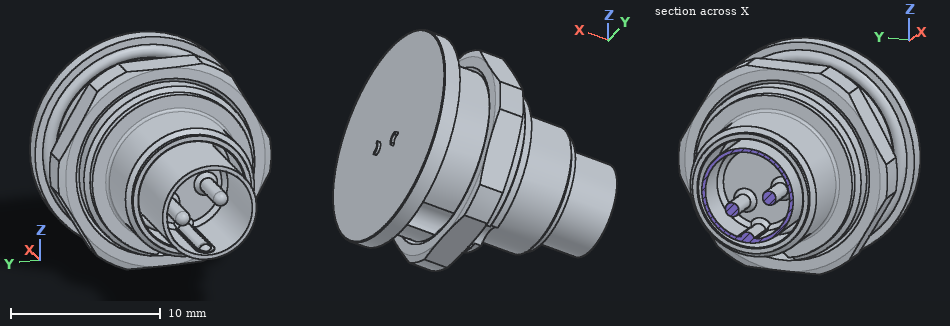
import cadquery as cq
import math


total_length = 15.9
collar_front = 3.69
thread_chamfer_start = 3.99
thread_chamfer_end = 4.23
shoulder_front = 7.92
body_chamfer_start = 8.43
body_chamfer_end = 8.62
nut_front = 9.5
nut_rear = 11.51
flange_front = 14.5
flange_rear = 15.7

shroud_dia = 6.6
collar_dia = 8.32
front_thread_dia = 9.05
shoulder_dia = 11.27
body_dia = 12.0
flange_dia = 15.0
root_fillet = 0.19
flange_chamfer = 0.06

nut_across_flats = 14.0
nut_corner_dia = flange_dia
nut_corner_chamfer = 0.13
nut_bore_dia = 11.38
nut_mouth_dia = 12.5
nut_mouth_depth = 0.32

socket_dia = 6.0
socket_floor_dia = 5.35
socket_floor = 5.56
socket_taper_length = 0.32

gap_dia = 7.5
gap_mouth_chamfer = 0.06
gap_floor = 7.15

seal_thickness = 1.0
seal_center_x = 14.7
gap_seal_thickness = seal_thickness / 2
gap_seal_center_x = gap_floor - gap_seal_thickness / 4

contact_dia = 1.0
contact_base_dia = 1.64
contact_base_length = 0.32
contact_tip = 1.95
contact_circle_radius = 1.56
cup_hole_dia = 0.7
cup_cut_offset = 0.17
contact_angles = [(180.0, 148.0), (-45.0, -45.0)]

key_center_z = -3.02
key_lead_start = 1.16
key_nose_start = 0.95
key_nose_tip = 0.55
key_lead_dia = 0.9
key_tip_dia = 0.16
pad_front = 0.4
pad_width = 1.3
pad_thickness = 0.06

keyway_radius = 1.43
keyway_center_z = -6.47


def cylinder(diameter, start, end, y=0.0, z=0.0):
    """Solid cylinder parallel to X."""
    return cq.Workplane("YZ", origin=(start, y, z)).circle(diameter / 2).extrude(end - start)


def cone(start_dia, end_dia, start, end, y=0.0, z=0.0):
    """Solid truncated cone parallel to X."""
    solid = cq.Solid.makeCone(
        start_dia / 2, end_dia / 2, end - start, cq.Vector(start, y, z), cq.Vector(1, 0, 0)
    )
    return cq.Workplane(obj=solid)


def ring(inner_dia, thickness, center_x):
    """Round-section ring around the X axis."""
    center_radius = (inner_dia + thickness) / 2
    center = cq.Vector(center_x, 0, 0)
    solid = cq.Solid.makeTorus(center_radius, thickness / 2, center, cq.Vector(1, 0, 0))
    return cq.Workplane(obj=solid)


def make_body():
    """Stepped turned body with its end flange."""
    shroud_r = shroud_dia / 2
    collar_r = collar_dia / 2
    thread_r = front_thread_dia / 2
    shoulder_r = shoulder_dia / 2
    body_r = body_dia / 2
    flange_r = flange_dia / 2
    fillet_center = (shoulder_front - root_fillet, thread_r + root_fillet)
    fillet_middle = (
        fillet_center[0] + root_fillet * math.sin(math.pi / 4),
        fillet_center[1] - root_fillet * math.cos(math.pi / 4),
    )
    return (
        cq.Workplane("XY")
        .moveTo(0, 0)
        .lineTo(0, shroud_r)
        .lineTo(collar_front, shroud_r)
        .lineTo(collar_front, collar_r)
        .lineTo(thread_chamfer_start, collar_r)
        .lineTo(thread_chamfer_end, thread_r)
        .lineTo(shoulder_front - root_fillet, thread_r)
        .threePointArc(fillet_middle, (shoulder_front, thread_r + root_fillet))
        .lineTo(shoulder_front, shoulder_r)
        .lineTo(body_chamfer_start, shoulder_r)
        .lineTo(body_chamfer_end, body_r)
        .lineTo(flange_front, body_r)
        .lineTo(flange_front, flange_r)
        .lineTo(flange_rear - flange_chamfer, flange_r)
        .lineTo(flange_rear, flange_r - flange_chamfer)
        .lineTo(flange_rear, 0)
        .close()
        .revolve(360, (0, 0, 0), (1, 0, 0))
    )


def make_keyway():
    """Round groove that cuts the shoulder and body up to the flange."""
    return cylinder(2 * keyway_radius, shoulder_front, flange_front, z=keyway_center_z)


def make_socket():
    """Blind bore of the shroud, tapered just above its floor."""
    taper_start = socket_floor - socket_taper_length
    bore = cylinder(socket_dia, 0, taper_start)
    return bore.union(cone(socket_dia, socket_floor_dia, taper_start, socket_floor))


def make_gap():
    """Annular gap between the shroud and the collar, with a chamfered mouth."""
    mouth_end = collar_front + gap_mouth_chamfer
    mouth = cone(gap_dia + 2 * gap_mouth_chamfer, gap_dia, collar_front, mouth_end)
    gap = cylinder(gap_dia, collar_front, gap_floor).union(mouth)
    return gap.cut(cylinder(shroud_dia, collar_front, gap_floor))


def make_nut():
    """Hex nut with turned corners and a countersunk bore."""
    width = nut_rear - nut_front
    hex_corner_dia = nut_across_flats / math.cos(math.pi / 6)
    hexagon = cq.Workplane("YZ", origin=(nut_front, 0, 0)).polygon(6, hex_corner_dia).extrude(width)
    front_turned = nut_front + nut_corner_chamfer
    rear_turned = nut_rear - nut_corner_chamfer
    turned = (
        cylinder(nut_corner_dia, front_turned, rear_turned)
        .union(cone(nut_across_flats, nut_corner_dia, nut_front, front_turned))
        .union(cone(nut_corner_dia, nut_across_flats, rear_turned, nut_rear))
    )
    return (
        hexagon.intersect(turned)
        .cut(cylinder(nut_bore_dia, nut_front, nut_rear))
        .cut(cone(nut_mouth_dia, nut_bore_dia, nut_front, nut_front + nut_mouth_depth))
        .cut(cone(nut_bore_dia, nut_mouth_dia, nut_rear - nut_mouth_depth, nut_rear))
    )


def contact_base(y, z):
    """Conical base of a contact or of the key, standing on the socket floor."""
    return cone(contact_dia, contact_base_dia, socket_floor - contact_base_length, socket_floor, y, z)


def make_key():
    """Tapered rod along the socket wall, with its pad and base, kept within the shroud wall."""
    rod = (
        cylinder(contact_dia, key_lead_start, socket_floor, z=key_center_z)
        .union(cone(key_lead_dia, contact_dia, key_nose_start, key_lead_start, z=key_center_z))
        .union(cone(key_tip_dia, key_lead_dia, key_nose_tip, key_nose_start, z=key_center_z))
        .union(contact_base(0, key_center_z))
    )
    pad_end_center = pad_front + pad_width / 2
    pad_plan = (
        cq.Workplane("XY")
        .moveTo(socket_floor, pad_width / 2)
        .lineTo(pad_end_center, pad_width / 2)
        .threePointArc((pad_front, 0), (pad_end_center, -pad_width / 2))
        .lineTo(socket_floor, -pad_width / 2)
        .close()
        .extrude(-shroud_dia / 2)
    )
    pad = pad_plan.cut(cylinder(socket_dia - 2 * pad_thickness, 0, socket_floor))
    wall_middle_dia = (socket_dia + shroud_dia) / 2
    return rod.union(pad).intersect(cylinder(wall_middle_dia, 0, socket_floor))


def contact_place(place_angle):
    """Y and Z of a point on the contact circle."""
    angle = math.radians(place_angle)
    return contact_circle_radius * math.cos(angle), contact_circle_radius * math.sin(angle)


def make_contact(place_angle):
    """Round-tipped pin standing on a conical base on the socket floor."""
    y, z = contact_place(place_angle)
    tip_center = contact_tip + contact_dia / 2
    tip = cq.Workplane("XY").sphere(contact_dia / 2).translate((tip_center, y, z))
    return cylinder(contact_dia, tip_center, socket_floor, y, z).union(tip).union(contact_base(y, z))


def make_solder_cup(place_angle, open_angle):
    """Rear end of a contact: a tube cut open along one side."""
    y, z = contact_place(place_angle)
    tube = cylinder(contact_dia, flange_rear, total_length).cut(
        cylinder(cup_hole_dia, flange_rear, total_length)
    )
    opening = (
        cq.Workplane("XY")
        .box(total_length - flange_rear, contact_dia, contact_dia, centered=(False, False, True))
        .translate((flange_rear, -cup_cut_offset, 0))
        .rotate((0, 0, 0), (1, 0, 0), open_angle)
    )
    return tube.cut(opening).translate((0, y, z))


result = make_body().cut(make_keyway()).cut(make_socket()).cut(make_gap())
result = result.union(make_nut())
result = result.union(ring(body_dia, seal_thickness, seal_center_x))
result = result.union(ring(shroud_dia, gap_seal_thickness, gap_seal_center_x))
result = result.union(make_key())
for place_angle, open_angle in contact_angles:
    result = result.union(make_contact(place_angle))
    result = result.union(make_solder_cup(place_angle, open_angle))